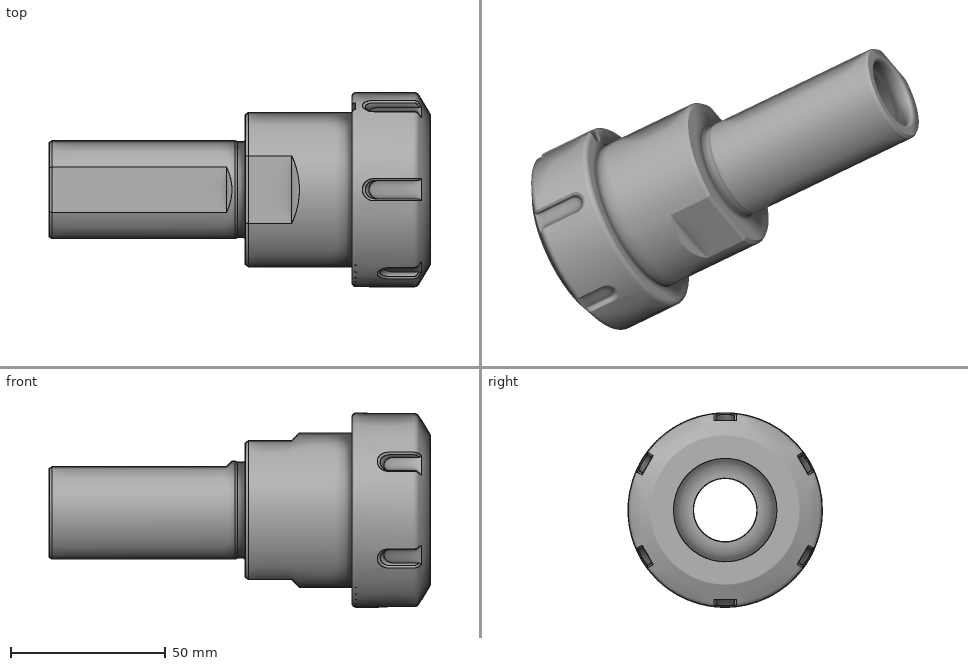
import cadquery as cq
import math


shank_radius = 31.7 / 2
shank_end_radius = 30.5 / 2
shank_chamfer_length = 1.0
shank_flat_height = 14.1
shank_flat_length = 57.4

neck_start = 60.3
neck_taper_length = 0.7
neck_radius = 31.1 / 2
neck_fillet = 0.8
undercut_depth = 0.1
undercut_radius = 33.5 / 2

body_start = 63.5
body_radius = 50.0 / 2
body_end_radius = 48.4 / 2
body_chamfer_length = 1.1
body_flat_height = 22.5
body_flat_length = 15.1

bore_radius = 20.5 / 2
counterbore_radius = 23.0 / 2
counterbore_depth = 5.1
counterbore_cone_length = 0.7
mouth_fillet = 1.1

total_length = 123.5
nut_start = 98.0
nut_radius = 63.0 / 2
nut_rear_fillet = 1.5
nut_cone_start = 119.2
nut_cone_fillet = 2.0
nut_face_fillet = 0.5
nut_face_radius = 48.4 / 2
nut_opening_radius = 33.5 / 2
nut_seat = 113.6
nut_relief_radius = 51.0 / 2
nut_relief_depth = 1.5

slot_count = 6
slot_width = 5.9
slot_floor_height = 29.0
slot_tilt = 32.0
slot_rim_chamfer = 0.6
slot_cutter_end = total_length + 12.4
slot_cutter_height = 12.4
long_slot_start = 103.6
short_slot_start = 108.4
long_slot_count = 3
selection_margin = 0.1

mark_angle = -360 / slot_count
mark_radius = 2.6
mark_distance = 29.5
mark_depth = 1.1

axis_start = (0, 0, 0)
axis_end = (1, 0, 0)
sine_45 = math.sin(math.radians(45))


def revolve_about_x(profile):
    """Full turn of a profile in the XY plane (x along the axis, y as radius)."""
    return profile.close().revolve(360, axis_start, axis_end)


def flat_cutter(start, length, height, full_radius, chamfer_length, chamfer_depth):
    """Material above a flat: chamfered at its start, with a 45 degree run-out slope at its end."""
    rise = full_radius - height
    return (
        cq.Workplane("XZ")
        .moveTo(start, height - chamfer_depth)
        .lineTo(start + chamfer_length, height)
        .lineTo(start + length, height)
        .lineTo(start + length + rise, full_radius)
        .lineTo(start, full_radius)
        .close()
        .extrude(full_radius, both=True)
    )


def make_holder():
    """Bored and counterbored shank and body in one turned piece with milled flats."""
    neck_end = body_start + undercut_depth - neck_fillet
    neck_fillet_mid = (
        neck_end + neck_fillet * sine_45,
        neck_radius + neck_fillet * (1 - sine_45),
    )
    mouth_inset = mouth_fillet * (1 - sine_45)
    mouth_mid = (mouth_inset, counterbore_radius + mouth_inset)
    outline = (
        cq.Workplane("XY")
        .moveTo(0, counterbore_radius + mouth_fillet)
        .lineTo(0, shank_end_radius)
        .lineTo(shank_chamfer_length, shank_radius)
        .lineTo(neck_start, shank_radius)
        .lineTo(neck_start + neck_taper_length, neck_radius)
        .lineTo(neck_end, neck_radius)
        .threePointArc(neck_fillet_mid, (neck_end + neck_fillet, neck_radius + neck_fillet))
        .lineTo(body_start, undercut_radius)
        .lineTo(body_start, body_end_radius)
        .lineTo(body_start + body_chamfer_length, body_radius)
        .lineTo(nut_seat, body_radius)
        .lineTo(nut_seat, bore_radius)
        .lineTo(counterbore_depth + counterbore_cone_length, bore_radius)
        .lineTo(counterbore_depth, counterbore_radius)
        .lineTo(mouth_fillet, counterbore_radius)
        .threePointArc(mouth_mid, (0, counterbore_radius + mouth_fillet))
    )
    blank = revolve_about_x(outline)
    shank_flat = flat_cutter(
        0,
        shank_flat_length,
        shank_flat_height,
        shank_radius,
        shank_chamfer_length,
        shank_radius - shank_end_radius,
    )
    upper_flat = flat_cutter(
        body_start,
        body_flat_length,
        body_flat_height,
        body_radius,
        body_chamfer_length,
        body_radius - body_end_radius,
    )
    lower_flat = upper_flat.mirror("XY")
    return blank.cut(shank_flat).cut(upper_flat).cut(lower_flat)


def make_nut_shell():
    """Turned nut without slots, its cavity seated on the end of the holder."""
    outer_outline = (
        cq.Workplane("XY")
        .moveTo(nut_start, 0)
        .lineTo(nut_start, nut_radius)
        .lineTo(nut_cone_start, nut_radius)
        .lineTo(total_length, nut_face_radius)
        .lineTo(total_length, 0)
    )
    cavity_outline = (
        cq.Workplane("XY")
        .moveTo(nut_start, 0)
        .lineTo(nut_start, nut_relief_radius)
        .lineTo(nut_start + nut_relief_depth, nut_relief_radius)
        .lineTo(nut_start + nut_relief_depth, body_radius)
        .lineTo(nut_seat, body_radius)
        .lineTo(nut_seat, nut_opening_radius)
        .lineTo(total_length, nut_opening_radius)
        .lineTo(total_length, 0)
    )
    outer = revolve_about_x(outer_outline)
    outer = outer.faces("<X").edges().fillet(nut_rear_fillet)
    outer = outer.faces(">X").edges().fillet(nut_face_fillet)
    cone_edge = cq.selectors.NearestToPointSelector((nut_cone_start, 0, 0))
    outer = outer.edges(cone_edge).fillet(nut_cone_fillet)
    return outer.cut(revolve_about_x(cavity_outline))


def slot_cutter(floor_start):
    """Round-ended slot at the top of the nut, its end wall leaning to the rear."""
    half_width = slot_width / 2
    floor_outline = (
        cq.Workplane("XY", origin=(0, 0, slot_floor_height))
        .moveTo(slot_cutter_end, half_width)
        .lineTo(floor_start + half_width, half_width)
        .threePointArc((floor_start, 0), (floor_start + half_width, -half_width))
        .lineTo(slot_cutter_end, -half_width)
        .close()
        .val()
    )
    lean = -slot_cutter_height * math.tan(math.radians(slot_tilt))
    direction = cq.Vector(lean, 0, slot_cutter_height)
    return cq.Workplane(cq.Solid.extrudeLinear(floor_outline, [], direction))


def cut_slot(nut, floor_start):
    """Cut one slot at the top of the nut and chamfer its rim."""
    slotted = nut.cut(slot_cutter(floor_start))
    half_width = slot_width / 2
    upper_half_of_walls = (slot_floor_height + nut_radius) / 2
    rim_on_barrel = cq.selectors.BoxSelector(
        (nut_start, -half_width - selection_margin, upper_half_of_walls),
        (total_length, half_width + selection_margin, nut_radius + selection_margin),
    )
    rim_on_cone = cq.selectors.BoxSelector(
        (nut_cone_start, -half_width - selection_margin, slot_floor_height + selection_margin),
        (total_length, half_width + selection_margin, nut_radius),
    )
    return slotted.edges(rim_on_barrel + rim_on_cone).chamfer(slot_rim_chamfer)


def make_index_mark():
    """Shallow round cutter that breaks out through the rear edge of the nut."""
    mark = (
        cq.Workplane("YZ", origin=(nut_start, 0, 0))
        .center(0, mark_distance)
        .circle(mark_radius)
        .extrude(mark_depth)
    )
    return mark.rotate(axis_start, axis_end, mark_angle)


def make_nut():
    nut = make_nut_shell()
    for slot in range(slot_count):
        floor_start = long_slot_start if slot < long_slot_count else short_slot_start
        nut = cut_slot(nut, floor_start).rotate(axis_start, axis_end, 360 / slot_count)
    return nut.cut(make_index_mark())


holder = make_holder()
nut = make_nut()
result = cq.Compound.makeCompound([holder.val(), nut.val()])